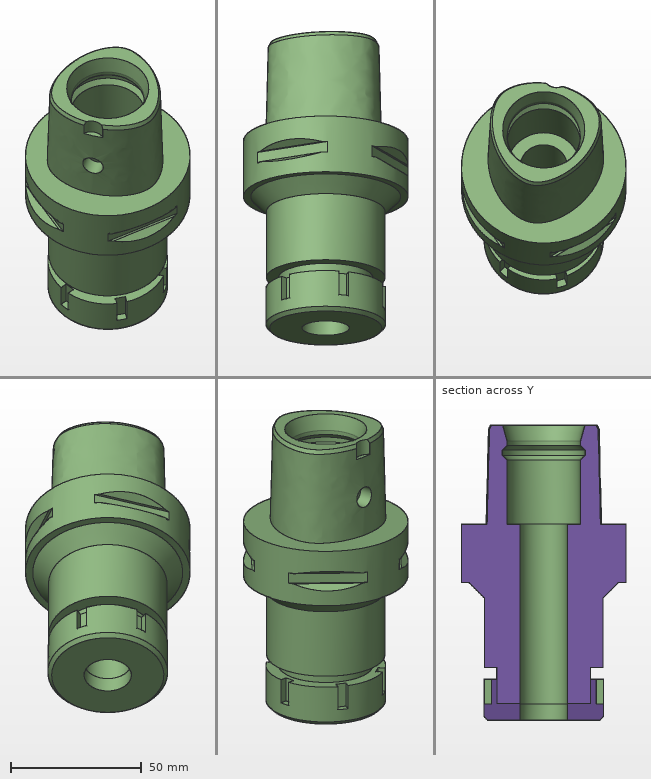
import cadquery as cq
import math

TOTAL_HEIGHT = 113.0

NUT_TOP = 15.8
BARREL_BOTTOM = 20.2
CONE_BOTTOM = 46.8
FLANGE_BOTTOM = 52.8
FLANGE_TOP = 75.1

FLANGE_RADIUS = 31.5
BARREL_RADIUS = 22.7
NECK_RADIUS = 18.1
CONE_TOP_RADIUS = BARREL_RADIUS + (FLANGE_BOTTOM - CONE_BOTTOM)

SHANK_BASE_RADIUS = 22.1
SHANK_TAPER = 1 / 20
SHANK_TIP_HEIGHT = 1.6
SHANK_SHOULDER_Z = TOTAL_HEIGHT - SHANK_TIP_HEIGHT
SHANK_SHOULDER_RADIUS = SHANK_BASE_RADIUS - SHANK_TAPER / 2 * (SHANK_SHOULDER_Z - FLANGE_TOP)
SHANK_TIP_RADIUS = 20.5
LOBE_HEIGHT = 1.4
OUTLINE_POINTS = 48

THROUGH_RADIUS = 9.0
BORE_RADIUS = 14.0
BORE_MOUTH_RADIUS = 15.7
BORE_MOUTH_DEPTH = 6.1
GROOVE_RADIUS = 15.8
GROOVE_TOP_DEPTH = 7.8
GROOVE_WALL_HEIGHT = 1.9
GROOVE_FLANK = GROOVE_RADIUS - BORE_RADIUS
BORE_FLOOR = FLANGE_TOP

NOTCH_ARC_RADIUS = 5.1
NOTCH_WIDTH = 7.5
NOTCH_DEPTH = 6.1
NOTCH_INNER_DISTANCE = 18.0

SIDE_HOLE_RADIUS = 4.1
SIDE_HOLE_Z = 90.5
SIDE_HOLE_FLOOR_DISTANCE = 14.5

GRIPPER_COUNT = 4
GRIPPER_Z = 62.8
GRIPPER_HEIGHT = 4.2
GRIPPER_FLOOR_DISTANCE = 27.7
GRIPPER_FLARE_DISTANCE = 28.6
GRIPPER_FLARE_RISE = 1.9

NUT_RADIUS = 22.9
NUT_CHAMFER = 1.5
NUT_SLOT_COUNT = 6
NUT_SLOT_WIDTH = 4.0
NUT_SLOT_BOTTOM = 6.3
NUT_SLOT_FLOOR_DISTANCE = 20.1
NECK_END = NUT_SLOT_BOTTOM


def lobed_point(radius, z, angle):
    """Point where the tangent line facing the given angle touches the three-lobed outline."""
    support = radius - LOBE_HEIGHT * math.sin(3 * angle)
    slope = -3 * LOBE_HEIGHT * math.cos(3 * angle)
    x = support * math.cos(angle) - slope * math.sin(angle)
    y = support * math.sin(angle) + slope * math.cos(angle)
    return cq.Vector(x, y, z)


def lobed_outline(radius, z):
    """Closed three-lobed curve of constant width that starts on the -Y side."""
    step = 2 * math.pi / OUTLINE_POINTS
    points = [lobed_point(radius, z, i * step - math.pi / 2) for i in range(OUTLINE_POINTS)]
    return cq.Wire.assembleEdges([cq.Edge.makeSpline(points, periodic=True)])


def make_shank():
    base = lobed_outline(SHANK_BASE_RADIUS, FLANGE_TOP)
    shoulder = lobed_outline(SHANK_SHOULDER_RADIUS, SHANK_SHOULDER_Z)
    end = lobed_outline(SHANK_TIP_RADIUS, TOTAL_HEIGHT)
    taper = cq.Workplane("XY").add(cq.Solid.makeLoft([base, shoulder], True))
    tip = cq.Workplane("XY").add(cq.Solid.makeLoft([shoulder, end], True))
    return taper.union(tip)


def make_turned_body():
    profile = [
        (0, NECK_END),
        (NECK_RADIUS, NECK_END),
        (NECK_RADIUS, BARREL_BOTTOM),
        (BARREL_RADIUS, BARREL_BOTTOM),
        (BARREL_RADIUS, CONE_BOTTOM),
        (CONE_TOP_RADIUS, FLANGE_BOTTOM),
        (FLANGE_RADIUS, FLANGE_BOTTOM),
        (FLANGE_RADIUS, FLANGE_TOP),
        (0, FLANGE_TOP),
    ]
    return cq.Workplane("XZ").polyline(profile).close().revolve(360, (0, 0), (0, 1))


def make_bore():
    groove_top = TOTAL_HEIGHT - GROOVE_TOP_DEPTH
    wall_top = groove_top - GROOVE_FLANK
    wall_bottom = wall_top - GROOVE_WALL_HEIGHT
    profile = [
        (0, 0),
        (THROUGH_RADIUS, 0),
        (THROUGH_RADIUS, BORE_FLOOR),
        (BORE_RADIUS, BORE_FLOOR),
        (BORE_RADIUS, wall_bottom - GROOVE_FLANK),
        (GROOVE_RADIUS, wall_bottom),
        (GROOVE_RADIUS, wall_top),
        (BORE_RADIUS, groove_top),
        (BORE_RADIUS, TOTAL_HEIGHT - BORE_MOUTH_DEPTH),
        (BORE_MOUTH_RADIUS, TOTAL_HEIGHT),
        (0, TOTAL_HEIGHT),
    ]
    return cq.Workplane("XZ").polyline(profile).close().revolve(360, (0, 0), (0, 1))


def make_key_notch():
    """Straight-sided notch whose inner wall is a shallow concave arc."""
    half_width = NOTCH_WIDTH / 2
    arc_rise = NOTCH_ARC_RADIUS - math.sqrt(NOTCH_ARC_RADIUS**2 - half_width**2)
    corner_y = -NOTCH_INNER_DISTANCE - arc_rise
    notch = cq.Workplane("XY", origin=(0, 0, TOTAL_HEIGHT - NOTCH_DEPTH))
    notch = notch.moveTo(-half_width, corner_y)
    notch = notch.threePointArc((0, -NOTCH_INNER_DISTANCE), (half_width, corner_y))
    notch = notch.lineTo(half_width, -SHANK_BASE_RADIUS).lineTo(-half_width, -SHANK_BASE_RADIUS)
    return notch.close().extrude(NOTCH_DEPTH)


def make_side_hole():
    hole = cq.Workplane("XZ", origin=(0, -SIDE_HOLE_FLOOR_DISTANCE, SIDE_HOLE_Z))
    return hole.circle(SIDE_HOLE_RADIUS).extrude(SHANK_BASE_RADIUS - SIDE_HOLE_FLOOR_DISTANCE)


def make_gripper_slot(angle):
    """Tangential slot with a flat floor and flanks that flare towards the rim of the flange."""
    half_floor = GRIPPER_HEIGHT / 2
    half_mouth = half_floor + GRIPPER_FLARE_RISE
    profile = [
        (GRIPPER_FLOOR_DISTANCE, -half_floor),
        (GRIPPER_FLARE_DISTANCE, -half_floor),
        (FLANGE_RADIUS, -half_mouth),
        (FLANGE_RADIUS, half_mouth),
        (GRIPPER_FLARE_DISTANCE, half_floor),
        (GRIPPER_FLOOR_DISTANCE, half_floor),
    ]
    slot = cq.Workplane("XZ", origin=(0, 0, GRIPPER_Z)).polyline(profile).close()
    return slot.extrude(FLANGE_RADIUS, both=True).rotate((0, 0, 0), (0, 0, 1), angle)


def make_holder():
    holder = make_turned_body().union(make_shank())
    holder = holder.cut(make_bore()).cut(make_key_notch()).cut(make_side_hole())
    spacing = 360 / GRIPPER_COUNT
    for i in range(GRIPPER_COUNT):
        holder = holder.cut(make_gripper_slot((i + 0.5) * spacing))
    return holder


def make_nut_slot(angle):
    slot_length = NUT_RADIUS - NUT_SLOT_FLOOR_DISTANCE
    slot = cq.Workplane("XY").box(
        slot_length, NUT_SLOT_WIDTH, NUT_TOP - NUT_SLOT_BOTTOM, centered=(False, True, False)
    )
    slot = slot.translate((NUT_SLOT_FLOOR_DISTANCE, 0, NUT_SLOT_BOTTOM))
    return slot.rotate((0, 0, 0), (0, 0, 1), angle)


def make_nut():
    nut = cq.Workplane("XY").circle(NUT_RADIUS).extrude(NUT_TOP)
    nut = nut.faces("<Z").chamfer(NUT_CHAMFER)
    neck_socket = cq.Workplane("XY", origin=(0, 0, NECK_END)).circle(NECK_RADIUS).extrude(NUT_TOP - NECK_END)
    through_hole = cq.Workplane("XY").circle(THROUGH_RADIUS).extrude(NUT_TOP)
    nut = nut.cut(neck_socket).cut(through_hole)
    spacing = 360 / NUT_SLOT_COUNT
    for i in range(NUT_SLOT_COUNT):
        nut = nut.cut(make_nut_slot(i * spacing))
    return nut


holder = make_holder()
nut = make_nut()

result = cq.Compound.makeCompound([holder.val(), nut.val()])